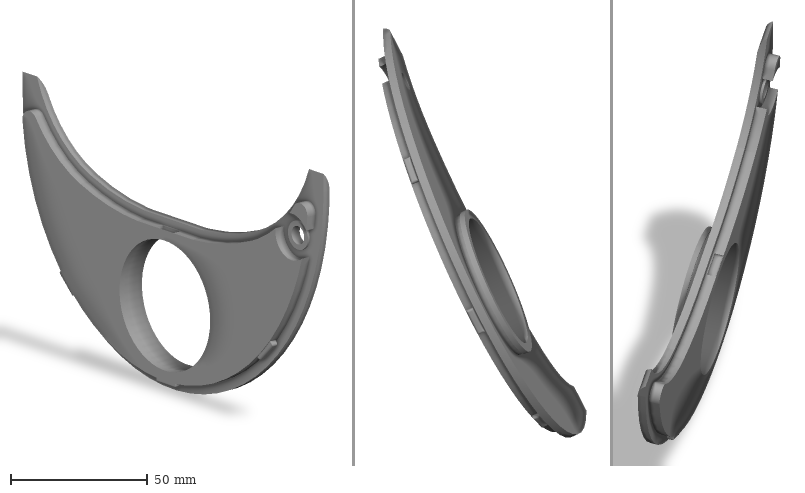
import cadquery as cq
import math


plate_thickness = 3.0
lip_height = 4.0
collar_height = 4.0
collar_rim_height = 2.0

half_width = 83.0
bottom_z = -33.0
top_z = 69.5
ellipse_center_z = 62.5

flat_z = 32.0
flat_half_length = 15.25
flat_blend_length = 1.5
inner_start_angle = 0.05
inner_join_angle = 0.377
inner_low_radius = 95.5
inner_high_radius = 50.75

tip_round_radius = 10.0

lip_outer_margin = 4.0
lip_inner_margin = 3.0
lip_tip_radius = 4.0

opening_radius = 25.0
collar_rim_radius = 28.5
collar_neck_radius = 28.0

pivot_x = 70.0
pivot_z = 43.0
pivot_hole_radius = 3.5
pivot_boss_radius = 5.5
pivot_boss_height = 1.0
pivot_clearance_radius = 9.0

snap_length = 10.2
snap_width = 2.7
snap_depth = 1.6
snap_rounding = 0.75
snap_root = 1.0
snap_mid_y = -2.25
side_snap_parameter = math.radians(43.3)
side_snap_tilt = 45.0
notch_length = 9.6
notch_width = 3.4
notch_depth = 1.0


def prism(sketch, y_front, y_back):
    """Extrude an XZ sketch between two Y positions."""
    return sketch.extrude(-(y_back - y_front)).translate((0, y_front, 0))


def cylinder(x, z, radius, y_front, y_back):
    return prism(cq.Workplane("XZ").center(x, z).circle(radius), y_front, y_back)


def arc_point(center, radius, angle):
    """Point on an arc, with the angle measured from straight below its centre."""
    return (center[0] + radius * math.sin(angle), center[1] - radius * math.cos(angle))


low_center = (
    flat_half_length - inner_low_radius * math.sin(inner_start_angle),
    flat_z + inner_low_radius * math.cos(inner_start_angle),
)
high_center = arc_point(low_center, inner_low_radius - inner_high_radius, inner_join_angle)


def outer_radii(margin):
    """Radii along X and Z of the outer ellipse, moved inward by a margin."""
    return (half_width - margin, ellipse_center_z - bottom_z - margin)


def outer_body(margin, height_z, y_front, y_back):
    """Everything inside the outer edge, with the edge moved inward by a margin."""
    side_x, depth = outer_radii(margin)
    outline = (
        cq.Workplane("XZ")
        .moveTo(-side_x, ellipse_center_z)
        .ellipseArc(side_x, depth, 180, 360)
        .lineTo(side_x, height_z)
        .lineTo(-side_x, height_z)
        .close()
    )
    return prism(outline, y_front, y_back)


def inner_void(margin, blend, y_front, y_back):
    """Space above the inner edge, with the edge moved into the material by a margin.

    The blend is the length rounded off on either side of the corner at each end of the flat.
    """
    low_radius = inner_low_radius + margin
    high_radius = inner_high_radius + margin
    floor_z = flat_z - margin
    corner_angle = math.acos((low_center[1] - floor_z) / low_radius)
    start_angle = corner_angle + blend / low_radius
    flat_end_x = arc_point(low_center, low_radius, corner_angle)[0] - blend
    outline = cq.Workplane("XZ").moveTo(0, floor_z).lineTo(flat_end_x, floor_z)
    if blend > 0:
        start = arc_point(low_center, low_radius, start_angle)
        outline = outline.tangentArcPoint(start, relative=False)
    half = prism(
        outline.threePointArc(
            arc_point(low_center, low_radius, (start_angle + inner_join_angle) / 2),
            arc_point(low_center, low_radius, inner_join_angle),
        )
        .threePointArc(
            arc_point(high_center, high_radius, (inner_join_angle + math.pi / 2) / 2),
            arc_point(high_center, high_radius, math.pi / 2),
        )
        .lineTo(0, high_center[1])
        .close(),
        y_front,
        y_back,
    )
    return half.union(half.mirror("YZ"))


def make_plate():
    body = outer_body(0, top_z, 0, plate_thickness)
    void = inner_void(0, flat_blend_length, 0, plate_thickness)
    return body.cut(void).cut(tip_rounding())


def tip_rounding():
    """Stock removed behind the horn tips: all that lies above a cylinder tangent to the back face."""
    axis_y = plate_thickness - tip_round_radius
    sweep = math.acos(-axis_y / tip_round_radius)
    axis_z = top_z - tip_round_radius * math.sin(sweep)
    middle = (
        axis_y + tip_round_radius * math.cos(sweep / 2),
        axis_z + tip_round_radius * math.sin(sweep / 2),
    )
    return (
        cq.Workplane("YZ")
        .moveTo(0, top_z)
        .threePointArc(middle, (plate_thickness, axis_z))
        .lineTo(plate_thickness, top_z)
        .close()
        .extrude(half_width, both=True)
    )


def make_lip():
    body = outer_body(lip_outer_margin, high_center[1], -lip_height, 0)
    lip = body.cut(inner_void(lip_inner_margin, 0, -lip_height, 0))
    horn_tips = cq.selectors.BoxSelector(
        (-half_width, -lip_height, (ellipse_center_z + top_z) / 2),
        (half_width, 0, high_center[1]),
    )
    lip = lip.edges("|Y").edges(horn_tips).fillet(lip_tip_radius)
    return lip.cut(cylinder(pivot_x, pivot_z, pivot_clearance_radius, -lip_height, 0))


def rounded_block(length, width, depth, rounding):
    """Block along X reaching below Z = 0 by its depth, rounded at the bottom, with a root above."""
    block = cq.Workplane("XY").box(length, width, depth + snap_root, centered=(True, True, False))
    return block.translate((0, 0, -depth)).faces("<Z").edges().fillet(rounding)


def snap_bumps():
    bump = rounded_block(snap_length, snap_width, snap_depth, snap_rounding)
    side_x, depth = outer_radii(lip_outer_margin)
    bumps = bump.translate((0, snap_mid_y, ellipse_center_z - depth))
    for side in (-1, 1):
        position = (
            side * side_x * math.sin(side_snap_parameter),
            snap_mid_y,
            ellipse_center_z - depth * math.cos(side_snap_parameter),
        )
        turned = bump.rotate((0, 0, 0), (0, 1, 0), -side * side_snap_tilt)
        bumps = bumps.union(turned.translate(position))
    return bumps


def snap_notch():
    notch = rounded_block(notch_length, notch_width, notch_depth, snap_rounding)
    return notch.translate((0, snap_mid_y, flat_z - lip_inner_margin))


def make_collar():
    rim_y = plate_thickness + collar_height - collar_rim_height
    neck = cylinder(0, 0, collar_neck_radius, plate_thickness, rim_y)
    rim = cylinder(0, 0, collar_rim_radius, rim_y, rim_y + collar_rim_height)
    return neck.union(rim)


part = make_plate().union(make_lip()).union(make_collar())
part = part.union(snap_bumps()).cut(snap_notch())
part = part.union(cylinder(pivot_x, pivot_z, pivot_boss_radius, -pivot_boss_height, 0))
part = part.cut(cylinder(pivot_x, pivot_z, pivot_hole_radius, -lip_height, plate_thickness))
part = part.cut(cylinder(0, 0, opening_radius, -lip_height, plate_thickness + collar_height))
result = part